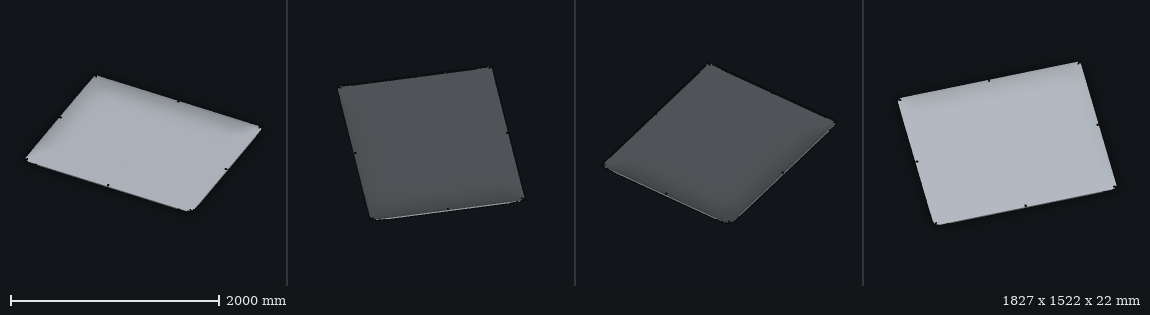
import cadquery as cq

length = 1827.0
width = 1522.0
height = 22.0

thickness = 3.0
bend_radius = 5.0
inner_radius = bend_radius - thickness

corner_setback = 4.0
corner_relief = 5.0

flange_end_gap = 50.0
step_inset = 153.0
shallow_depth = 15.0
notch_width = 11.0
notch_top = 7.0
notch_inset_long = 143.0
notch_inset_short = 90.0

large_hole = 13.0
large_hole_inset = 20.0
small_hole = 7.1
small_hole_inset = 35.0

slot_width = small_hole
slot_length = 15.0
slot_inset = 20.0


def corner_points(inset_x, inset_y):
    """The four points at the given distances from the outer sides."""
    x = length / 2 - inset_x
    y = width / 2 - inset_y
    return [(sign_x * x, sign_y * y) for sign_x in (-1, 1) for sign_y in (-1, 1)]


def make_panel():
    """Flat sheet up to the bend lines, with a square tab filling each corner. Top face at Z = 0."""
    panel = cq.Workplane("XY").rect(length - 2 * bend_radius, width - 2 * bend_radius).extrude(-thickness)
    tab_size = flange_end_gap - corner_relief
    tab_center = corner_setback + tab_size / 2
    tabs = (
        cq.Workplane("XY")
        .pushPoints(corner_points(tab_center, tab_center))
        .rect(tab_size, tab_size)
        .extrude(-thickness)
    )
    return panel.union(tabs)


def make_flange(side, across, notch_inset):
    """Flange along the -Y side: 'side' is the panel size along X, 'across' the size along Y."""
    half_run = side / 2 - flange_end_gap
    outer_face = -across / 2
    inner_face = outer_face + thickness
    bend_start = outer_face + bend_radius
    flange = (
        cq.Workplane("YZ")
        .moveTo(bend_start, 0)
        .radiusArc((outer_face, -bend_radius), -bend_radius)
        .lineTo(outer_face, -height)
        .lineTo(inner_face, -height)
        .lineTo(inner_face, -bend_radius)
        .radiusArc((bend_start, -thickness), inner_radius)
        .close()
        .extrude(half_run, both=True)
    )

    def cutter(center, size, top):
        """Block through the flange that removes everything below a depth."""
        block = cq.Workplane("XY").box(size, 2 * bend_radius, height, centered=(True, True, False))
        return block.translate((center, outer_face, -top - height))

    step_length = step_inset - flange_end_gap
    for sign in (-1, 1):
        flange = flange.cut(cutter(sign * (half_run - step_length / 2), step_length, shallow_depth))
        flange = flange.cut(cutter(sign * (side / 2 - notch_inset), notch_width, notch_top))
    return flange


def corner_holes(diameter, inset):
    points = corner_points(inset, inset)
    return cq.Workplane("XY").pushPoints(points).circle(diameter / 2).extrude(-thickness)


def side_slots():
    """Slots at the middle of the sides, each pointing inward from its side."""
    x = length / 2 - slot_inset
    y = width / 2 - slot_inset
    along_x = cq.Workplane("XY").pushPoints([(-x, 0), (x, 0)]).slot2D(slot_length, slot_width)
    along_y = cq.Workplane("XY").pushPoints([(0, -y), (0, y)]).slot2D(slot_length, slot_width, 90)
    return along_x.extrude(-thickness).union(along_y.extrude(-thickness))


long_flange = make_flange(length, width, notch_inset_long)
short_flange = make_flange(width, length, notch_inset_short)

result = make_panel()
for turn in (0, 180):
    result = result.union(long_flange.rotate((0, 0, 0), (0, 0, 1), turn))
    result = result.union(short_flange.rotate((0, 0, 0), (0, 0, 1), turn + 90))
result = result.cut(corner_holes(large_hole, large_hole_inset))
result = result.cut(corner_holes(small_hole, small_hole_inset))
result = result.cut(side_slots())